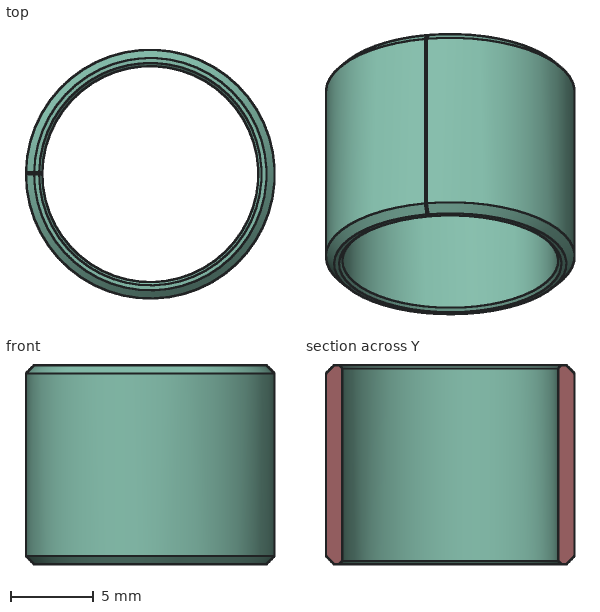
import cadquery as cq

outer_diameter = 15.0
bore_diameter = 13.0
length = 12.0
outer_chamfer = 0.5
bore_chamfer = 0.2
slit_angle = 1.0

outer_radius = outer_diameter / 2
bore_radius = bore_diameter / 2
half_length = length / 2


def wall_section():
    """Chamfered wall section in the XZ plane, on the -X side of the axis."""
    return (
        cq.Workplane("XZ")
        .moveTo(-(bore_radius + bore_chamfer), -half_length)
        .lineTo(-(outer_radius - outer_chamfer), -half_length)
        .lineTo(-outer_radius, -half_length + outer_chamfer)
        .lineTo(-outer_radius, half_length - outer_chamfer)
        .lineTo(-(outer_radius - outer_chamfer), half_length)
        .lineTo(-(bore_radius + bore_chamfer), half_length)
        .lineTo(-bore_radius, half_length - bore_chamfer)
        .lineTo(-bore_radius, -half_length + bore_chamfer)
        .close()
    )


def make_split_sleeve():
    """Sweep the section counter-clockwise from -X, stopping short to leave the slit on the +Y side."""
    return wall_section().revolve(360 - slit_angle, (0, 0, 0), (0, 1, 0))


result = make_split_sleeve()